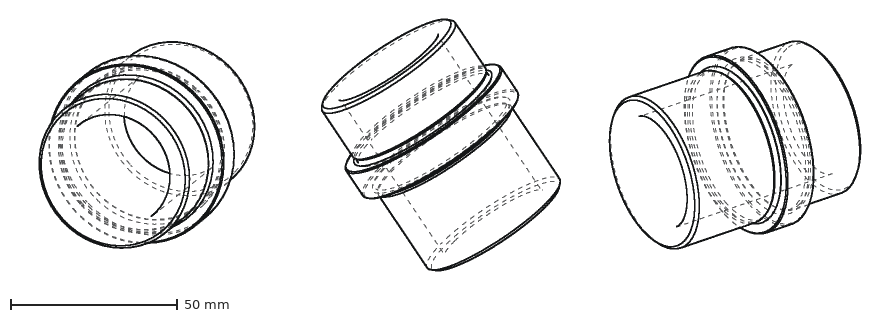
import cadquery as cq
import math

length = 60.0
body_radius = 24.0
bore_radius = 17.5
flange_radius = 28.0
flange_width = 10.0
end_chamfer = 1.0
flange_chamfer = 0.4
bore_mouth_radius = 2.0

lead_in_length = 3.0
lead_in_reduction = 0.01

relief_width = 2.0
relief_depth = 0.4
relief_run_out = 0.6
relief_fillet = 0.4
relief_lip_radius = 24.7

front_end = -length / 2
rear_end = length / 2
flange_front = -flange_width
lead_in_radius = body_radius - lead_in_reduction
bore_mouth_end_radius = bore_radius + bore_mouth_radius


def revolved(outline):
    """Close a (radius, Y) outline and turn it about the Y axis."""
    return outline.close().revolve(360, (0, 0, 0), (0, 1, 0))


def bush_blank():
    """Hollow body with chamfered ends, tapered lead-in, flange and rounded bore mouths."""
    return revolved(
        cq.Workplane("XY")
        .moveTo(bore_mouth_end_radius, front_end)
        .lineTo(body_radius - end_chamfer, front_end)
        .lineTo(body_radius, front_end + end_chamfer)
        .lineTo(body_radius, flange_front)
        .lineTo(flange_radius - flange_chamfer, flange_front)
        .lineTo(flange_radius, flange_front + flange_chamfer)
        .lineTo(flange_radius, -flange_chamfer)
        .lineTo(flange_radius - flange_chamfer, 0)
        .lineTo(body_radius, 0)
        .lineTo(body_radius, rear_end - lead_in_length)
        .lineTo(lead_in_radius, rear_end - end_chamfer)
        .lineTo(lead_in_radius - end_chamfer, rear_end)
        .lineTo(bore_mouth_end_radius, rear_end)
        .radiusArc((bore_radius, rear_end - bore_mouth_radius), -bore_mouth_radius)
        .lineTo(bore_radius, front_end + bore_mouth_radius)
        .radiusArc((bore_mouth_end_radius, front_end), -bore_mouth_radius)
    )


def front_relief():
    """Ring of material removed at the flange's -Y root: slope, floor, fillet and 45 degree wall."""
    floor_radius = body_radius - relief_depth
    start = flange_front - relief_width
    fillet_offset = relief_fillet * math.sqrt(0.5)
    fillet_center_radius = floor_radius + relief_fillet
    wall_radius = fillet_center_radius + fillet_offset
    wall_end = flange_front + relief_lip_radius - wall_radius
    fillet_center = wall_end - fillet_offset
    return revolved(
        cq.Workplane("XY")
        .moveTo(body_radius, start)
        .lineTo(floor_radius, start + relief_run_out)
        .lineTo(floor_radius, fillet_center)
        .threePointArc(
            (fillet_center_radius - fillet_offset, fillet_center + fillet_offset),
            (wall_radius, wall_end),
        )
        .lineTo(relief_lip_radius, flange_front)
        .lineTo(relief_lip_radius, start)
    )


relief = front_relief()
rear_relief = relief.mirror("XZ", (0, flange_front / 2, 0))

result = bush_blank().cut(relief).cut(rear_relief)